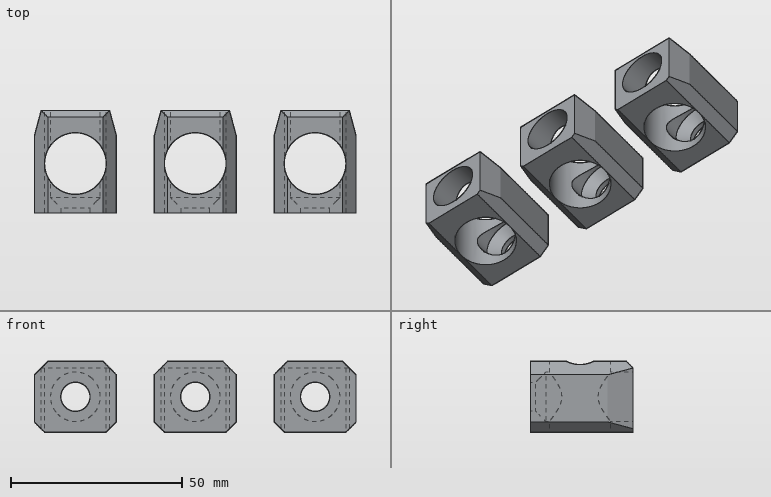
import cadquery as cq
import math

block_count = 3
row_length = 94.0
block_width = 24.0
block_length = 30.0
block_height = 20.8
pitch = (row_length - block_width) / (block_count - 1)

top_bevel = 3.95
bottom_bevel = 3.0
rear_taper_length = 7.3
rear_taper_angle = 15.0
rear_taper_inset = rear_taper_length * math.tan(math.radians(rear_taper_angle))
rear_top_bevel = rear_taper_inset

bore_diameter = 18.0
bore_from_front = 14.5
screw_hole_diameter = 8.5
rear_hole_diameter = 14.5
front_lip = 1.5
flare_length = (rear_hole_diameter - screw_hole_diameter) / 2
hole_height = block_height / 2


def bevelled_bar():
    """Bar along Y with bevelled long edges, front face at Y = 0, base at Z = 0."""
    return (
        cq.Workplane("XY")
        .box(block_width, block_length, block_height, centered=(True, False, False))
        .edges("|Y and >Z")
        .chamfer(top_bevel)
        .edges("|Y and <Z")
        .chamfer(bottom_bevel)
    )


def plan_outline():
    """Prism whose plan narrows toward the rear end."""
    half_width = block_width / 2
    rear_half_width = half_width - rear_taper_inset
    taper_start = block_length - rear_taper_length
    return (
        cq.Workplane("XY")
        .polyline([
            (-half_width, 0),
            (half_width, 0),
            (half_width, taper_start),
            (rear_half_width, block_length),
            (-rear_half_width, block_length),
            (-half_width, taper_start),
        ])
        .close()
        .extrude(block_height)
    )


def rear_bevel_cutter():
    """Triangular prism that bevels the upper rear edge."""
    return (
        cq.Workplane("YZ")
        .polyline([
            (block_length, block_height),
            (block_length - rear_top_bevel, block_height),
            (block_length, block_height - rear_top_bevel),
        ])
        .close()
        .extrude(block_width / 2, both=True)
    )


def vertical_bore():
    return (
        cq.Workplane("XY")
        .center(0, bore_from_front)
        .circle(bore_diameter / 2)
        .extrude(block_height)
    )


def lengthwise_hole(diameter, start, end):
    """Cylinder along +Y between two distances from the front face."""
    return (
        cq.Workplane("XZ", origin=(0, start, hole_height))
        .circle(diameter / 2)
        .extrude(start - end)
    )


def hole_flare():
    """Cone that widens rearward from the screw hole to the rear hole."""
    return cq.Workplane(obj=cq.Solid.makeCone(
        screw_hole_diameter / 2,
        rear_hole_diameter / 2,
        flare_length,
        pnt=cq.Vector(0, front_lip, hole_height),
        dir=cq.Vector(0, 1, 0),
    ))


def clamp_block():
    return (
        bevelled_bar()
        .intersect(plan_outline())
        .cut(rear_bevel_cutter())
        .cut(vertical_bore())
        .cut(lengthwise_hole(screw_hole_diameter, 0, front_lip))
        .cut(hole_flare())
        .cut(lengthwise_hole(rear_hole_diameter, front_lip + flare_length, block_length))
    )


clamp_blocks = [
    clamp_block().translate(((index - (block_count - 1) / 2) * pitch, 0, 0)).val()
    for index in range(block_count)
]

result = cq.Compound.makeCompound(clamp_blocks)